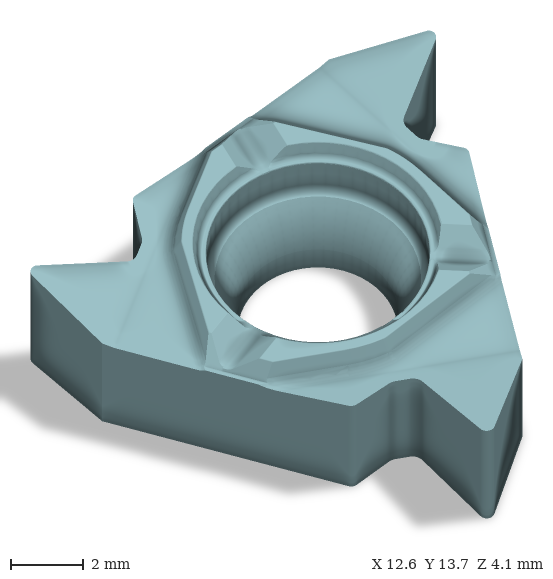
import cadquery as cq
import math

TOOTH_SPACING = 120
TOOTH_ANGLES = [-k * TOOTH_SPACING for k in range(3)]
TOTAL_HEIGHT = 4.1
FLAT_HEIGHT = 3.5
SIDE_DISTANCE = 4.75
SIDE_NORMAL = 60

TIP_RADIUS = 0.22
TIP_CENTER = (-3.27, 6.98)
FLANK_ANGLE = 28
NOTCH_FLOOR = 4.7
NOTCH_END_X = -1.09
SHOULDER_ANGLE = 30
ROOT_RADIUS = 0.36
SHOULDER_RADIUS = 0.23
RAMP_START = 4.31
RAMP_ANGLE = 10
CREASE_RADIUS = 0.27

BOSS_RADIUS = 3.74
BOSS_END_DISTANCE = 4.95
BOSS_LONG_DISTANCE = 3.63
BOSS_LONG_NORMAL = 121.7
BOSS_DRAFT = 28
BOSS_FOOT_RADIUS = 0.32
BOSS_CORNER_RADIUS = 0.55
BOSS_TOP_EDGE_RADIUS = 0.04
SLAB_THICKNESS = 0.27

END_WALL_TOP = 4.26
END_WALL_FOOT = 4.63
END_WALL_START = -3.3
END_WALL_STOP = 0.41
END_SHELF_HEIGHT = 3.57
GENTLE_WALL_TOP = 3.85
GENTLE_WALL_STOP = -1.24

GROOVE_DIRECTION = 45
GROOVE_OFFSET = 0.04
GROOVE_FLOOR = 3.64
GROOVE_FLOOR_HALF_WIDTH = 0.04
GROOVE_SIDE_ANGLE = 35
GROOVE_RADIUS = 0.33

HOLE_RADIUS = 2.2
THROAT_HEIGHT = 0.82
SEAT_RADIUS = 2.83
SEAT_HEIGHT = 2.4
BORE_RADIUS = 3.06
BORE_BOTTOM = 2.65
LEDGE_HEIGHT = 3.65
LEDGE_LIP_RADIUS = 0.05
LEDGE_OUTER_RADIUS = 3.31
MOUTH_WALL_BOTTOM = 3.76
MOUTH_RADIUS = 3.44


def on_circle(radius, degrees):
    """Plan point at a radius from the hole axis and an angle from +X."""
    angle = math.radians(degrees)
    return (radius * math.cos(angle), radius * math.sin(angle))


def rotated(point, degrees):
    """Turn a plan point about the hole axis."""
    angle = math.radians(degrees)
    x, y = point
    return (x * math.cos(angle) - y * math.sin(angle), x * math.sin(angle) + y * math.cos(angle))


def line_crossing(normal_a, distance_a, normal_b, distance_b):
    """Crossing of two plan lines, each given by its normal direction and its distance from the axis."""
    a = math.radians(normal_a)
    b = math.radians(normal_b)
    determinant = math.sin(b - a)
    return (
        (distance_a * math.sin(b) - distance_b * math.sin(a)) / determinant,
        (distance_b * math.cos(a) - distance_a * math.cos(b)) / determinant,
    )


def flank_distance(normal):
    """Distance from the hole axis to the tooth flank that touches the tip round."""
    angle = math.radians(normal)
    return TIP_CENTER[0] * math.cos(angle) + TIP_CENTER[1] * math.sin(angle) + TIP_RADIUS


def tooth_corners():
    """Sharp corners of one third of the outline, clockwise, each with its rounding radius."""
    left_flank = 180 - FLANK_ANGLE
    right_flank = FLANK_ANGLE
    left_distance = flank_distance(left_flank)
    right_distance = flank_distance(right_flank)
    shoulder_normal = 90 + SHOULDER_ANGLE
    shoulder = math.radians(shoulder_normal)
    shoulder_distance = NOTCH_END_X * math.cos(shoulder) + NOTCH_FLOOR * math.sin(shoulder)
    return [
        (line_crossing(SIDE_NORMAL + TOOTH_SPACING, SIDE_DISTANCE, left_flank, left_distance), 0),
        (line_crossing(left_flank, left_distance, right_flank, right_distance), TIP_RADIUS),
        (line_crossing(right_flank, right_distance, 90, NOTCH_FLOOR), ROOT_RADIUS),
        ((NOTCH_END_X, NOTCH_FLOOR), ROOT_RADIUS),
        (line_crossing(shoulder_normal, shoulder_distance, SIDE_NORMAL, SIDE_DISTANCE), SHOULDER_RADIUS),
    ]


def rounded_outline(corners):
    """Closed wire through the corners, with each corner replaced by a tangent arc of its radius."""
    outline = cq.Workplane("XY")
    count = len(corners)
    for i, (corner, radius) in enumerate(corners):
        here = cq.Vector(*corner)
        to_previous = (cq.Vector(*corners[i - 1][0]) - here).normalized()
        to_next = (cq.Vector(*corners[(i + 1) % count][0]) - here).normalized()
        half_angle = to_previous.getAngle(to_next) / 2
        setback = radius / math.tan(half_angle)
        bisector = (to_previous + to_next).normalized()
        arc_start = here + to_previous * setback
        arc_middle = here + bisector * (radius / math.sin(half_angle) - radius)
        arc_end = here + to_next * setback
        if i == 0:
            outline = outline.moveTo(arc_start.x, arc_start.y)
        else:
            outline = outline.lineTo(arc_start.x, arc_start.y)
        if radius > 0:
            outline = outline.threePointArc((arc_middle.x, arc_middle.y), (arc_end.x, arc_end.y))
    return outline.close()


def make_plate():
    """Full-height prism with the three-toothed outline."""
    corners = [
        (rotated(corner, angle), radius)
        for angle in TOOTH_ANGLES
        for corner, radius in tooth_corners()
    ]
    return rounded_outline(corners).extrude(TOTAL_HEIGHT)


def make_top_waste():
    """Space above the body: flat below in the middle, rising along each tooth."""
    reach = 2 * SIDE_DISTANCE
    ramp_rise = (reach - RAMP_START) * math.tan(math.radians(RAMP_ANGLE))
    ceiling = 2 * TOTAL_HEIGHT
    profile = [
        (-reach, FLAT_HEIGHT),
        (RAMP_START, FLAT_HEIGHT),
        (reach, FLAT_HEIGHT + ramp_rise),
        (reach, ceiling),
        (-reach, ceiling),
    ]
    crease = cq.selectors.NearestToPointSelector((0, RAMP_START, FLAT_HEIGHT))
    above_tooth = (
        cq.Workplane("YZ").polyline(profile).close().extrude(reach, both=True)
        .edges(crease).fillet(CREASE_RADIUS)
    )
    waste = above_tooth
    for angle in TOOTH_ANGLES[1:]:
        waste = waste.intersect(above_tooth.rotate((0, 0, 0), (0, 0, 1), angle))
    return waste


def boss_arc_angle(radius, long_distance):
    """Direction of the corner where the boss arc meets the long wall."""
    return BOSS_LONG_NORMAL - math.degrees(math.acos(long_distance / radius))


def boss_section(grow, height):
    """Boss outline at a height, with every wall moved outward by grow."""
    radius = BOSS_RADIUS + grow
    end_distance = BOSS_END_DISTANCE + grow
    long_distance = BOSS_LONG_DISTANCE + grow
    arc_angle = boss_arc_angle(radius, long_distance)
    arc_start = on_circle(radius, arc_angle)
    arc_middle = on_circle(radius, (arc_angle + 90) / 2)
    arc_end = on_circle(radius, 90)
    next_long_normal = BOSS_LONG_NORMAL - TOOTH_SPACING
    wall_end = line_crossing(90, radius, SIDE_NORMAL, end_distance)
    next_long_start = line_crossing(SIDE_NORMAL, end_distance, next_long_normal, long_distance)

    outline = cq.Workplane("XY").workplane(offset=height).moveTo(*arc_start)
    for angle in TOOTH_ANGLES:
        if angle != 0:
            outline = outline.lineTo(*rotated(arc_start, angle))
        outline = outline.threePointArc(rotated(arc_middle, angle), rotated(arc_end, angle))
        outline = outline.lineTo(*rotated(wall_end, angle))
        outline = outline.lineTo(*rotated(next_long_start, angle))
    return outline.close().val()


def make_boss():
    """Drafted boss on a thin slab, with a fillet around its foot."""
    spread = (TOTAL_HEIGHT - FLAT_HEIGHT) * math.tan(math.radians(BOSS_DRAFT))
    foot = boss_section(spread, FLAT_HEIGHT)
    top = boss_section(0, TOTAL_HEIGHT)
    boss = cq.Workplane(cq.Solid.makeLoft([foot, top], True))
    arc_angle = boss_arc_angle(BOSS_RADIUS, BOSS_LONG_DISTANCE)
    for angle in TOOTH_ANGLES:
        corner = on_circle(BOSS_RADIUS + spread / 2, arc_angle + angle)
        corner_edge = cq.selectors.NearestToPointSelector((*corner, (FLAT_HEIGHT + TOTAL_HEIGHT) / 2))
        boss = boss.edges(corner_edge).fillet(BOSS_CORNER_RADIUS)
    slab_size = 4 * SIDE_DISTANCE
    slab = cq.Workplane("XY").workplane(offset=FLAT_HEIGHT - SLAB_THICKNESS)
    slab = slab.rect(slab_size, slab_size).extrude(SLAB_THICKNESS)
    reach = slab_size / 3
    margin = SLAB_THICKNESS / 4
    foot_edges = cq.selectors.BoxSelector(
        (-reach, -reach, FLAT_HEIGHT - margin),
        (reach, reach, FLAT_HEIGHT + margin),
    )
    return slab.union(boss).edges(foot_edges).fillet(BOSS_FOOT_RADIUS)


def make_end_cut(wall_top, stop):
    """Cutter facing +X: a wall sloping from the boss top down to the narrow end shelf."""
    reach = 2 * SIDE_DISTANCE
    profile = [
        (wall_top, TOTAL_HEIGHT),
        (END_WALL_FOOT, END_SHELF_HEIGHT),
        (reach, END_SHELF_HEIGHT),
        (reach, TOTAL_HEIGHT),
    ]
    section = cq.Workplane("XZ").workplane(offset=-stop).polyline(profile).close()
    return section.extrude(stop - END_WALL_START)


def make_groove():
    """Cutter along +X for one V groove with a narrow flat floor and rounded floor corners."""
    slope = math.tan(math.radians(GROOVE_SIDE_ANGLE))
    tangent_length = GROOVE_RADIUS * math.tan(math.radians(GROOVE_SIDE_ANGLE / 2))
    half_floor = GROOVE_FLOOR_HALF_WIDTH + tangent_length
    half_top = half_floor + (TOTAL_HEIGHT - GROOVE_FLOOR) / slope
    profile = [
        (GROOVE_OFFSET - half_top, TOTAL_HEIGHT),
        (GROOVE_OFFSET - half_floor, GROOVE_FLOOR),
        (GROOVE_OFFSET + half_floor, GROOVE_FLOOR),
        (GROOVE_OFFSET + half_top, TOTAL_HEIGHT),
    ]
    groove = cq.Workplane("YZ").polyline(profile).close().extrude(2 * SIDE_DISTANCE)
    return groove.faces("<Z").edges("|X").fillet(GROOVE_RADIUS)


def make_bore():
    """Stepped hole, from the top: sloped mouth, narrow ledge, bore, flared seat and throat."""
    flare_rise = SEAT_HEIGHT - THROAT_HEIGHT
    flare_width = SEAT_RADIUS - HOLE_RADIUS
    flare_radius = (flare_width**2 + flare_rise**2) / (2 * flare_width)
    half_turn = math.atan2(flare_width, flare_rise)
    flare_middle = (
        HOLE_RADIUS + flare_radius * (1 - math.cos(half_turn)),
        THROAT_HEIGHT + flare_radius * math.sin(half_turn),
    )
    profile = (
        cq.Workplane("XZ")
        .moveTo(0, TOTAL_HEIGHT)
        .lineTo(MOUTH_RADIUS, TOTAL_HEIGHT)
        .lineTo(LEDGE_OUTER_RADIUS, MOUTH_WALL_BOTTOM)
        .tangentArcPoint((BORE_RADIUS + LEDGE_LIP_RADIUS, LEDGE_HEIGHT), relative=False)
        .tangentArcPoint((BORE_RADIUS, LEDGE_HEIGHT - LEDGE_LIP_RADIUS), relative=False)
        .lineTo(BORE_RADIUS, BORE_BOTTOM)
        .tangentArcPoint((SEAT_RADIUS, SEAT_HEIGHT), relative=False)
        .threePointArc(flare_middle, (HOLE_RADIUS, THROAT_HEIGHT))
        .lineTo(HOLE_RADIUS, 0)
        .lineTo(0, 0)
        .close()
    )
    return profile.revolve(360, (0, 0, 0), (0, 1, 0))


plate = make_plate()
body = plate.cut(make_top_waste())
boss = make_boss().intersect(plate)
end_cut = make_end_cut(END_WALL_TOP, END_WALL_STOP)
end_cut = end_cut.union(make_end_cut(GENTLE_WALL_TOP, GENTLE_WALL_STOP))
groove = make_groove()
for tooth_angle in TOOTH_ANGLES:
    boss = boss.cut(end_cut.rotate((0, 0, 0), (0, 0, 1), SIDE_NORMAL + tooth_angle))
    boss = boss.cut(groove.rotate((0, 0, 0), (0, 0, 1), GROOVE_DIRECTION + tooth_angle))
result = body.union(boss).cut(make_bore())
result = result.faces(">Z").edges().fillet(BOSS_TOP_EDGE_RADIUS)